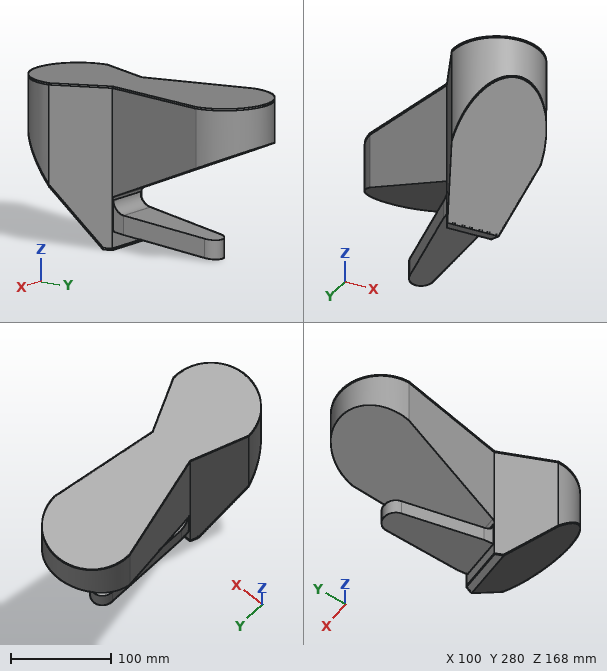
import cadquery as cq

TOTAL_LENGTH = 280.0
END_RADIUS = TOTAL_LENGTH / 5.6
WAIST_HALF_WIDTH = END_RADIUS / 2
REAR_CENTRE_Y = 2.4 * END_RADIUS
FRONT_CENTRE_Y = -1.2 * END_RADIUS
REAR_Y = REAR_CENTRE_Y + END_RADIUS
FRONT_Y = FRONT_CENTRE_Y - END_RADIUS

TOTAL_HEIGHT = 168.0
PLATE_THICKNESS = 2.0
REAR_END_DEPTH = 42.3
REAR_WAIST_DEPTH = 113.7
REAR_CORNER_RADIUS = 4.2
FRONT_END_DEPTH = 46.0
TOE_LENGTH = 8.7

ARM_TIP_Y = 116.5
ARM_ARC_START_Y = 104.2
ARM_TIP_HALF_WIDTH = 13.2
ARM_ROOT_HALF_WIDTH = 23.2
ARM_ROOT_LENGTH = 11.8
ARM_HEIGHT = 20.0
ARM_ROOT_DEPTH = 129.5
ARM_TIP_DEPTH = 146.0
ARM_CURVE_START_DEPTH = 116.5
ARM_CURVE_RADIUS = 14.5


def plan_prism(bottom_z, top_z):
    """The full plan outline, extruded between two heights."""
    return (
        cq.Workplane("XY", origin=(0, 0, bottom_z))
        .moveTo(-WAIST_HALF_WIDTH, 0)
        .lineTo(-END_RADIUS, FRONT_CENTRE_Y)
        .threePointArc((0, FRONT_Y), (END_RADIUS, FRONT_CENTRE_Y))
        .lineTo(WAIST_HALF_WIDTH, 0)
        .lineTo(END_RADIUS, REAR_CENTRE_Y)
        .threePointArc((0, REAR_Y), (-END_RADIUS, REAR_CENTRE_Y))
        .close()
        .extrude(top_z - bottom_z)
    )


def side_prism(points):
    """A (Y, Z) polygon, extruded evenly to both sides across the full width."""
    return cq.Workplane("YZ").polyline(points).close().extrude(END_RADIUS, both=True)


def make_top_plate():
    return plan_prism(-PLATE_THICKNESS, 0)


def make_housing():
    sole_top_z = PLATE_THICKNESS - TOTAL_HEIGHT
    profile = side_prism([
        (REAR_Y, -PLATE_THICKNESS),
        (REAR_Y, -REAR_END_DEPTH),
        (0, -REAR_WAIST_DEPTH),
        (0, sole_top_z),
        (-TOE_LENGTH, sole_top_z),
        (FRONT_Y, PLATE_THICKNESS - FRONT_END_DEPTH),
        (FRONT_Y, -PLATE_THICKNESS),
    ])
    rear_corner = cq.selectors.NearestToPointSelector((0, 0, -REAR_WAIST_DEPTH))
    profile = profile.edges("|X").edges(rear_corner).fillet(REAR_CORNER_RADIUS)
    return plan_prism(-TOTAL_HEIGHT, -PLATE_THICKNESS).intersect(profile)


def make_sole():
    """Plate under the toe and the front slope, with the same vertical thickness throughout."""
    lower_line = [(0, -TOTAL_HEIGHT), (-TOE_LENGTH, -TOTAL_HEIGHT), (FRONT_Y, -FRONT_END_DEPTH)]
    upper_line = [(y, z + PLATE_THICKNESS) for y, z in reversed(lower_line)]
    return plan_prism(-TOTAL_HEIGHT, 0).intersect(side_prism(lower_line + upper_line))


def make_arm():
    """Sloping, tapered arm whose root curves up against the housing's back wall."""
    plan = (
        cq.Workplane("XY", origin=(0, 0, -TOTAL_HEIGHT))
        .moveTo(-ARM_ROOT_HALF_WIDTH, 0)
        .lineTo(ARM_ROOT_HALF_WIDTH, 0)
        .lineTo(ARM_ROOT_HALF_WIDTH, ARM_ROOT_LENGTH)
        .lineTo(ARM_TIP_HALF_WIDTH, ARM_ARC_START_Y)
        .threePointArc((0, ARM_TIP_Y), (-ARM_TIP_HALF_WIDTH, ARM_ARC_START_Y))
        .lineTo(-ARM_ROOT_HALF_WIDTH, ARM_ROOT_LENGTH)
        .close()
        .extrude(TOTAL_HEIGHT)
    )
    top_slope = (ARM_TIP_DEPTH - ARM_ROOT_DEPTH) / ARM_TIP_Y
    curve_end_z = -ARM_ROOT_DEPTH - top_slope * ARM_ROOT_LENGTH
    profile = (
        cq.Workplane("YZ")
        .moveTo(0, -ARM_CURVE_START_DEPTH)
        .radiusArc((ARM_ROOT_LENGTH, curve_end_z), -ARM_CURVE_RADIUS)
        .lineTo(ARM_TIP_Y, -ARM_TIP_DEPTH)
        .lineTo(ARM_TIP_Y, -ARM_TIP_DEPTH - ARM_HEIGHT)
        .lineTo(0, -ARM_ROOT_DEPTH - ARM_HEIGHT)
        .close()
        .extrude(END_RADIUS, both=True)
    )
    return plan.intersect(profile)


top_plate = make_top_plate().solids()
housing = make_housing().solids()
sole = make_sole().solids()
arm = make_arm().solids()

result = cq.Compound.makeCompound([
    top_plate.val(),
    housing.val(),
    sole.val(),
    arm.val(),
])